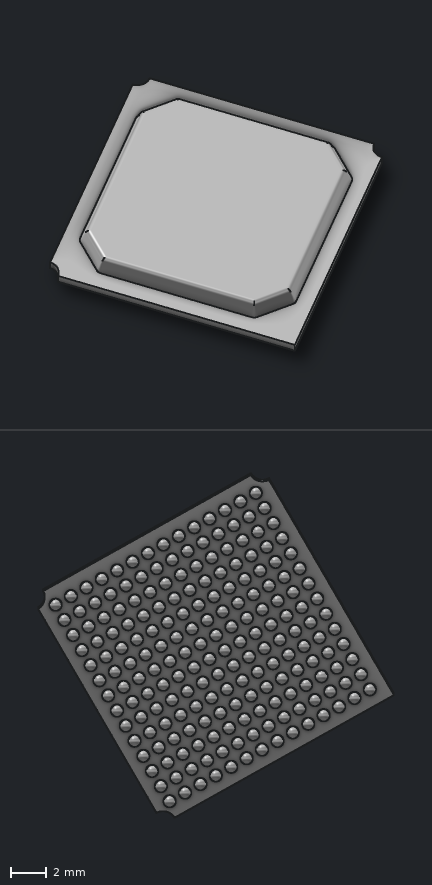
import cadquery as cq
import math

board_side = 15.0
board_thickness = 0.55
notch_radius = 0.75

cap_height = 0.88
cap_margin = 1.0
cap_draft_angle = 25.0
cap_straight_side = 9.06
cap_edge_radius = 0.35

ball_diameter = 0.7
ball_height = 0.52
balls_per_side = 14

board_half = board_side / 2
cap_lean = cap_height * math.tan(math.radians(cap_draft_angle))
cap_foot_half = board_half - cap_margin
cap_top_half = cap_foot_half - cap_lean
cap_top_cut = cap_top_half - cap_straight_side / 2
cap_foot_cut = cap_top_cut + (2 - math.sqrt(2)) * cap_lean
ball_radius = ball_diameter / 2
ball_pitch = board_side / (balls_per_side + 1)


def make_board():
    """Square plate with round notches in every corner except (+X, -Y)."""
    plate = cq.Workplane("XY").rect(board_side, board_side).extrude(board_thickness)
    notched_corners = [
        (-board_half, -board_half),
        (-board_half, board_half),
        (board_half, board_half),
    ]
    notches = (
        cq.Workplane("XY")
        .pushPoints(notched_corners)
        .circle(notch_radius)
        .extrude(board_thickness)
    )
    return plate.cut(notches)


def octagon(half_width, corner_cut):
    """Square outline of the given half width with 45-degree corner cuts."""
    return (
        cq.Sketch()
        .rect(2 * half_width, 2 * half_width)
        .vertices()
        .chamfer(corner_cut)
    )


def make_cap():
    """Octagonal cap with drafted walls, cone-rounded wall corners and a rounded top edge."""
    rounded_body = (
        cq.Workplane("XY")
        .workplane(offset=board_thickness)
        .placeSketch(octagon(cap_foot_half, cap_foot_cut))
        .extrude(cap_height, taper=cap_draft_angle)
        .faces(">Z")
        .edges()
        .fillet(cap_edge_radius)
    )
    cone_cornered_body = (
        cq.Workplane("XY")
        .workplane(offset=board_thickness + cap_height)
        .placeSketch(octagon(cap_top_half, cap_top_cut))
        .extrude(-cap_height, taper=-cap_draft_angle)
    )
    return rounded_body.intersect(cone_cornered_body)


def make_balls():
    """Full square grid of balls hanging below the board, their crowns sunk into it."""
    return (
        cq.Workplane("XY")
        .workplane(offset=ball_radius - ball_height)
        .rarray(ball_pitch, ball_pitch, balls_per_side, balls_per_side)
        .sphere(ball_radius)
    )


result = make_board().union(make_cap()).union(make_balls()).solids()